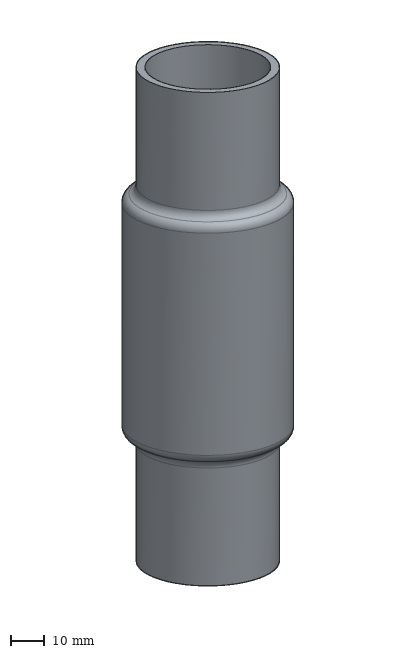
import cadquery as cq
import math

total_length = 156.0
body_diameter = 50.9
neck_diameter = 42.5
bore_diameter = 37.1
neck_length = 37.3
shoulder_height = 5.6

body_radius = body_diameter / 2
neck_radius = neck_diameter / 2
bore_radius = bore_diameter / 2
half_length = total_length / 2
neck_start = half_length - neck_length
body_end = neck_start - shoulder_height

shoulder_middle = (neck_start + body_end) / 2
middle_radius = (neck_radius + body_radius) / 2
arc_rise = shoulder_height / 2
arc_run = (body_radius - neck_radius) / 2
arc_radius = (arc_rise**2 + arc_run**2) / (2 * arc_run)
half_sweep = math.asin(arc_rise / arc_radius) / 2
arc_side_step = arc_radius * (1 - math.cos(half_sweep))
arc_axial_step = arc_radius * math.sin(half_sweep)

convex_point = (body_radius - arc_side_step, body_end + arc_axial_step)
concave_point = (neck_radius + arc_side_step, neck_start - arc_axial_step)


def mirrored(point):
    """Reflect a (radius, height) point to the lower half of the part."""
    radius, height = point
    return (radius, -height)


outline = (
    cq.Workplane("XZ")
    .moveTo(0, -half_length)
    .lineTo(neck_radius, -half_length)
    .lineTo(neck_radius, -neck_start)
    .threePointArc(mirrored(concave_point), (middle_radius, -shoulder_middle))
    .threePointArc(mirrored(convex_point), (body_radius, -body_end))
    .lineTo(body_radius, body_end)
    .threePointArc(convex_point, (middle_radius, shoulder_middle))
    .threePointArc(concave_point, (neck_radius, neck_start))
    .lineTo(neck_radius, half_length)
    .lineTo(0, half_length)
    .close()
)
outer_shape = outline.revolve(360, (0, 0, 0), (0, 1, 0))

bore = cq.Workplane("XY").workplane(offset=-half_length).circle(bore_radius).extrude(total_length)

result = outer_shape.cut(bore)